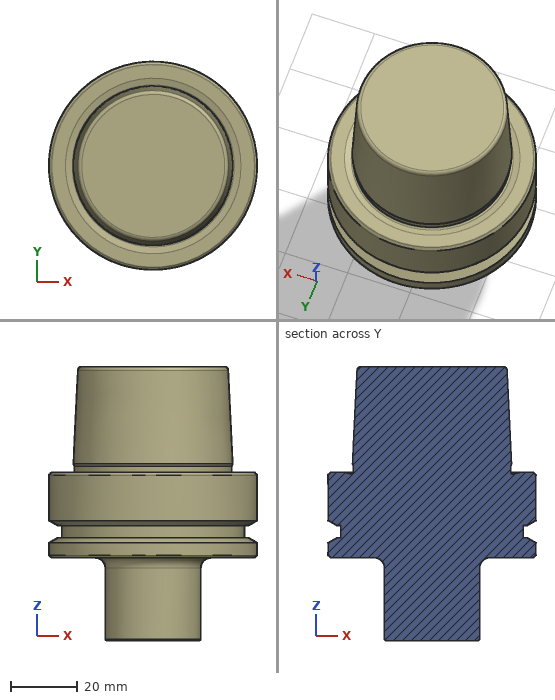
import cadquery as cq
import math

total_height = 82.9
flange_bottom = 25.0
flange_top = 51.0
groove_bottom = 31.2
groove_top = 34.8
neck_top = 52.8
taper_bottom = 53.55

flange_radius = 31.5
groove_floor_radius = 27.7
groove_wall_radius = 28.85
shank_radius = 14.5
neck_radius = 23.9
taper_bottom_radius = 24.1
taper_top_radius = 22.7
relief_radius = 26.5

flange_chamfer = 0.8
shank_chamfer = 0.5
shank_fillet = 2.9
top_fillet = 1.2
relief_depth = 0.7
neck_fillet = 0.5
rim_rounding = 0.2
groove_wall_angle = math.radians(30)

match_tolerance = 0.01

groove_wall_rise = (flange_radius - groove_wall_radius) * math.tan(groove_wall_angle)
fillet_middle = shank_fillet * (1 - math.sqrt(0.5))


def revolved_body():
    """Half outline in the XZ plane, revolved about Z."""
    outline = (
        cq.Workplane("XZ")
        .moveTo(0, 0)
        .lineTo(shank_radius - shank_chamfer, 0)
        .lineTo(shank_radius, shank_chamfer)
        .lineTo(shank_radius, flange_bottom - shank_fillet)
        .threePointArc(
            (shank_radius + fillet_middle, flange_bottom - fillet_middle),
            (shank_radius + shank_fillet, flange_bottom),
        )
        .lineTo(flange_radius - flange_chamfer, flange_bottom)
        .lineTo(flange_radius, flange_bottom + flange_chamfer)
        .lineTo(flange_radius, groove_bottom - groove_wall_rise)
        .lineTo(groove_wall_radius, groove_bottom)
        .lineTo(groove_floor_radius, groove_bottom)
        .lineTo(groove_floor_radius, groove_top)
        .lineTo(groove_wall_radius, groove_top)
        .lineTo(flange_radius, groove_top + groove_wall_rise)
        .lineTo(flange_radius, flange_top - flange_chamfer)
        .lineTo(flange_radius - flange_chamfer, flange_top)
        .lineTo(relief_radius, flange_top)
        .lineTo(neck_radius, flange_top - relief_depth)
        .lineTo(neck_radius, neck_top)
        .lineTo(taper_bottom_radius, taper_bottom)
        .lineTo(taper_top_radius, total_height)
        .lineTo(0, total_height)
        .close()
    )
    return outline.revolve(360, (0, 0, 0), (0, 1, 0))


def round_edge(body, edge_radius, height, fillet_radius):
    """Fillet the circular edge of the given radius at the given height."""
    def matches(edge):
        same_height = abs(edge.Center().z - height) < match_tolerance
        return same_height and abs(edge.radius() - edge_radius) < match_tolerance

    circles = body.edges("%CIRCLE").filter(matches)
    return circles.fillet(fillet_radius)


def round_rim(body, rim_height, inward):
    """Round both edges of a flange chamfer; inward is +1 or -1 along Z, into the flange."""
    body = round_edge(body, flange_radius - flange_chamfer, rim_height, rim_rounding)
    return round_edge(body, flange_radius, rim_height + inward * flange_chamfer, rim_rounding)


body = revolved_body()
body = body.faces(">Z").edges().fillet(top_fillet)
body = round_edge(body, neck_radius, flange_top - relief_depth, neck_fillet)
body = round_rim(body, flange_top, -1)
result = round_rim(body, flange_bottom, 1)